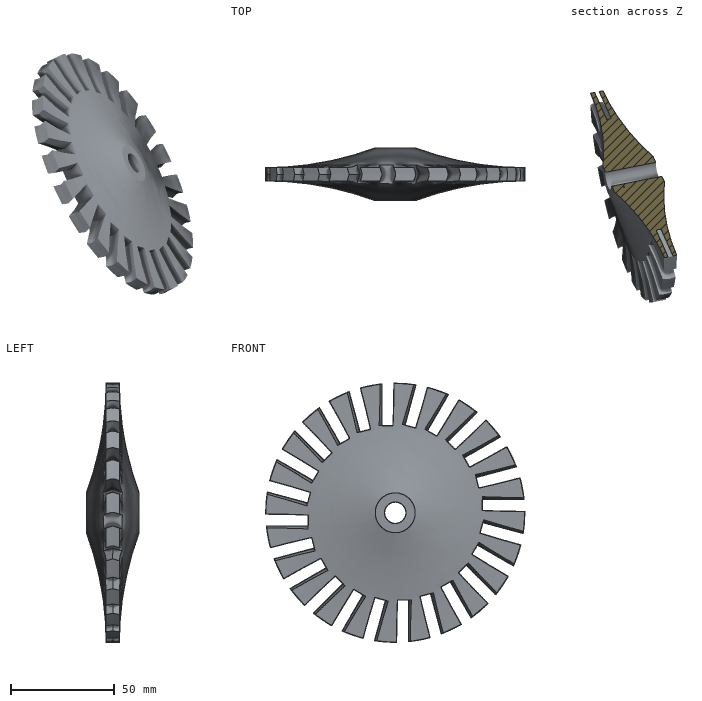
import cadquery as cq
import math

rim_radius = 62.38
rim_thickness = 6.4
hub_radius = 9.6
hub_thickness = 25.4
bore_diameter = 10.2

flank_radius = 152.0

slot_count = 24
slot_root_radius = 42.0
chevron_angle = 18.0
leading_apex_x = -6.3
trailing_apex_x = 0.35
trailing_round_radius = 3.4
slot_overcut = 5.0


def make_disc():
    """Revolve the disc section, bore included, about Y."""
    section = (
        cq.Workplane("XY")
        .moveTo(bore_diameter / 2, -hub_thickness / 2)
        .lineTo(bore_diameter / 2, hub_thickness / 2)
        .lineTo(hub_radius, hub_thickness / 2)
        .radiusArc((rim_radius, rim_thickness / 2), -flank_radius)
        .lineTo(rim_radius, -rim_thickness / 2)
        .radiusArc((hub_radius, -hub_thickness / 2), -flank_radius)
        .close()
    )
    return section.revolve(360, (0, 0, 0), (0, 1, 0))


def make_slot_cutter():
    """Chevron bar, pointing along +X, that cuts one slot from its flat root outward along Z."""
    half_depth = hub_thickness / 2
    sweep_back = half_depth * math.tan(math.radians(chevron_angle))
    chevron = (
        cq.Workplane("XY", origin=(0, 0, slot_root_radius))
        .moveTo(leading_apex_x, 0)
        .lineTo(leading_apex_x - sweep_back, half_depth)
        .lineTo(trailing_apex_x - sweep_back, half_depth)
        .lineTo(trailing_apex_x, 0)
        .lineTo(trailing_apex_x - sweep_back, -half_depth)
        .lineTo(leading_apex_x - sweep_back, -half_depth)
        .close()
    )
    bar = chevron.extrude(rim_radius - slot_root_radius + slot_overcut)
    trailing_edge = cq.selectors.NearestToPointSelector((trailing_apex_x, 0, rim_radius))
    return bar.edges(trailing_edge).fillet(trailing_round_radius)


result = make_disc()
slot_cutter = make_slot_cutter()
for slot_index in range(slot_count):
    slot_angle = slot_index * 360 / slot_count
    result = result.cut(slot_cutter.rotate((0, 0, 0), (0, 1, 0), slot_angle))